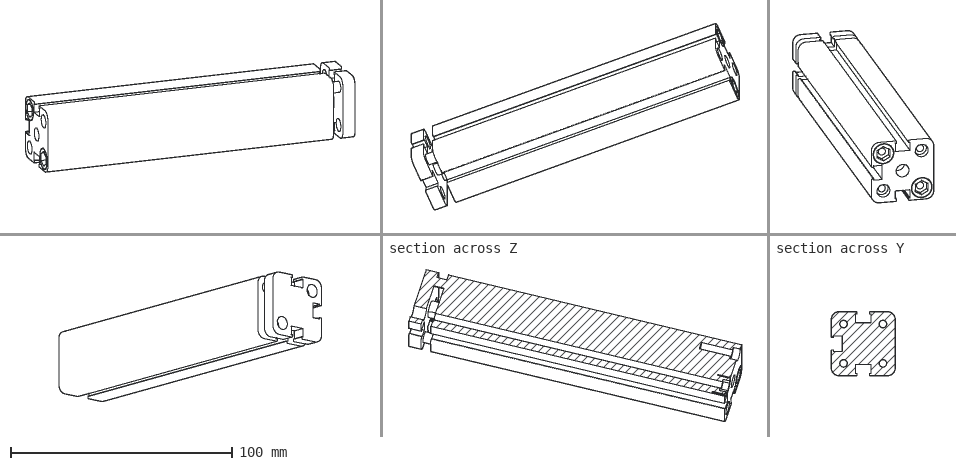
import cadquery as cq
import math

WIDTH = 29.1
LENGTH = 148.5
CORNER_RADIUS = 3.7
FRONT_Y = -LENGTH / 2
BACK_Y = LENGTH / 2

PLATE_THICKNESS = 6.0
PLATE_GAP = 4.5
PLATE_Y = BACK_Y - PLATE_THICKNESS
BODY_END_Y = PLATE_Y - PLATE_GAP
BODY_LENGTH = BODY_END_Y - FRONT_Y

SLOT_OPENING = 5.6
SLOT_WIDTH = 6.8
SLOT_LIP = 1.2
LIP_ROUNDING = 0.5
SLOT_DEPTH = 5.0

ROD_DIAMETER = 8.0
FLAT_WIDTH = 6.0
FLAT_RUNOUT = (ROD_DIAMETER - FLAT_WIDTH) / 2
ROD_TIP_DIAMETER = 7.4
ROD_TIP_LENGTH = 1.3

PIN_DIAMETER = 5.0
PIN_OFFSET = 9.4

HOLE_OFFSET = 8.9
CORE_DIAMETER = 3.3
BORE_DIAMETER = 6.0
CORNER_BORE_DEPTH = 3.3
CORNER_CORE_DEPTH = 17.8
CENTER_BORE_DEPTH = 8.9

HEAD_DIAMETER = 9.2
RECESS_DIAMETER = 9.7
RECESS_DEPTH = 6.0
HEX_ACROSS_FLATS = 6.0
HEX_DEPTH = 3.0
PLATE_HOLE_DIAMETER = 6.0

PIN_CORNERS = [(-1, -1), (1, 1)]
SCREW_CORNERS = [(-1, 1), (1, -1)]


def corner_points(corners, offset):
    """Scale corner signs to (x, z) positions."""
    return [(x * offset, z * offset) for x, z in corners]


def plane_at(y):
    """XZ plane at the given Y: local x is X, local y is Z, extruding toward +Y."""
    return cq.Workplane(cq.Plane(origin=(0, y, 0), xDir=(1, 0, 0), normal=(0, -1, 0)))


def cylinders(points, diameter, y, length):
    """Round bars starting at Y = y and running toward +Y."""
    return plane_at(y).pushPoints(points).circle(diameter / 2).extrude(-length)


def block(y, length):
    """Square bar with rounded long edges."""
    return plane_at(y).rect(WIDTH, WIDTH).extrude(-length).edges("|Y").fillet(CORNER_RADIUS)


def slot_cutter(angle):
    """T-slot with rounded lips, open toward +Z and turned about Y to face another side."""
    top = WIDTH / 2
    lip_bottom = top - SLOT_LIP
    floor = top - SLOT_DEPTH
    throat = SLOT_OPENING / 2
    mouth = throat + LIP_ROUNDING
    wall = SLOT_WIDTH / 2
    bulge = LIP_ROUNDING * (1 - math.sqrt(0.5))
    slot = (
        plane_at(FRONT_Y)
        .moveTo(-mouth, top)
        .threePointArc((-throat - bulge, top - bulge), (-throat, top - LIP_ROUNDING))
        .lineTo(-throat, lip_bottom)
        .lineTo(-wall, lip_bottom)
        .lineTo(-wall, floor)
        .lineTo(wall, floor)
        .lineTo(wall, lip_bottom)
        .lineTo(throat, lip_bottom)
        .lineTo(throat, top - LIP_ROUNDING)
        .threePointArc((throat + bulge, top - bulge), (mouth, top))
        .close()
        .extrude(-LENGTH)
    )
    return slot.rotate((0, 0, 0), (0, 1, 0), angle)


def piston_rod():
    """Rod across the gap: tapered tip, and flats running out at 45 degrees into the full diameter."""
    rod = (
        cq.Workplane("XY")
        .moveTo(0, BODY_END_Y)
        .lineTo(ROD_DIAMETER / 2, BODY_END_Y)
        .lineTo(ROD_DIAMETER / 2, PLATE_Y - ROD_TIP_LENGTH)
        .lineTo(ROD_TIP_DIAMETER / 2, PLATE_Y)
        .lineTo(0, PLATE_Y)
        .close()
        .revolve(360, (0, 0, 0), (0, 1, 0))
    )
    envelope = (
        cq.Workplane("XY")
        .moveTo(-ROD_DIAMETER / 2, BODY_END_Y)
        .lineTo(ROD_DIAMETER / 2, BODY_END_Y)
        .lineTo(FLAT_WIDTH / 2, BODY_END_Y + FLAT_RUNOUT)
        .lineTo(FLAT_WIDTH / 2, PLATE_Y)
        .lineTo(-FLAT_WIDTH / 2, PLATE_Y)
        .lineTo(-FLAT_WIDTH / 2, BODY_END_Y + FLAT_RUNOUT)
        .close()
        .extrude(ROD_DIAMETER, both=True)
    )
    return rod.intersect(envelope)


def hex_socket():
    """Hexagonal socket on the Y axis, with corners pointing up and down."""
    across_corners = HEX_ACROSS_FLATS / math.cos(math.pi / 6)
    socket = plane_at(FRONT_Y).polygon(6, across_corners).extrude(-HEX_DEPTH)
    return socket.rotate((0, 0, 0), (0, 1, 0), 30)


result = block(FRONT_Y, BODY_LENGTH).union(block(PLATE_Y, PLATE_THICKNESS))
for slot_angle in (0, 180, -90):
    result = result.cut(slot_cutter(slot_angle))

result = result.union(piston_rod())
result = result.union(cylinders(corner_points(PIN_CORNERS, PIN_OFFSET), PIN_DIAMETER, BODY_END_Y, PLATE_GAP))

blind_points = corner_points(PIN_CORNERS, HOLE_OFFSET)
result = result.cut(cylinders([(0, 0)], BORE_DIAMETER, FRONT_Y, CENTER_BORE_DEPTH))
result = result.cut(cylinders(blind_points, BORE_DIAMETER, FRONT_Y, CORNER_BORE_DEPTH))
result = result.cut(cylinders(blind_points, CORE_DIAMETER, FRONT_Y, CORNER_CORE_DEPTH))

screw_points = corner_points(SCREW_CORNERS, HOLE_OFFSET)
recesses = cylinders(screw_points, RECESS_DIAMETER, FRONT_Y, RECESS_DEPTH)
heads = cylinders(screw_points, HEAD_DIAMETER, FRONT_Y, RECESS_DEPTH)
result = result.cut(recesses.cut(heads))
for screw_x, screw_z in screw_points:
    result = result.cut(hex_socket().translate((screw_x, 0, screw_z)))

result = result.cut(cylinders(screw_points, CORE_DIAMETER, FRONT_Y, BODY_LENGTH))
result = result.cut(cylinders(screw_points, PLATE_HOLE_DIAMETER, PLATE_Y, PLATE_THICKNESS))